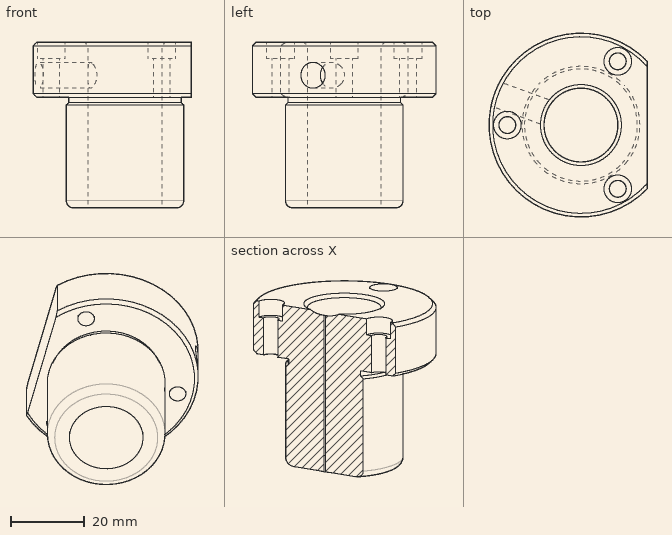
import cadquery as cq
import math

flange_radius = 24.98
flange_height = 15.0
flat_offset = 18.05
edge_chamfer = 1.0

total_height = 45.0
sleeve_radius = 16.0
sleeve_end_fillet = 2.0
neck_depth = 0.7
neck_height = 1.4

bore_radius = 10.0

screw_circle_radius = 20.0
screw_angles = (60, 180, 300)
screw_hole_diameter = 4.5
counterbore_diameter = 7.5
counterbore_depth = 4.5

cross_hole_radius = 3.5
cross_hole_drop = 9.0
cross_hole_angle = math.radians(160)


def turned_body():
    """Revolve the flange, neck and sleeve as one half section about Z."""
    neck_radius = sleeve_radius - neck_depth
    neck_bottom = -flange_height - neck_height
    sleeve_top = neck_bottom - neck_depth
    fillet_top = -total_height + sleeve_end_fillet
    fillet_inner_radius = sleeve_radius - sleeve_end_fillet
    fillet_reach = sleeve_end_fillet * math.sqrt(0.5)
    return (
        cq.Workplane("XZ")
        .moveTo(0, 0)
        .lineTo(flange_radius - edge_chamfer, 0)
        .lineTo(flange_radius, -edge_chamfer)
        .lineTo(flange_radius, -flange_height + edge_chamfer)
        .lineTo(flange_radius - edge_chamfer, -flange_height)
        .lineTo(neck_radius, -flange_height)
        .lineTo(neck_radius, neck_bottom)
        .lineTo(sleeve_radius, sleeve_top)
        .lineTo(sleeve_radius, fillet_top)
        .threePointArc(
            (fillet_inner_radius + fillet_reach, fillet_top - fillet_reach),
            (fillet_inner_radius, -total_height),
        )
        .lineTo(0, -total_height)
        .close()
        .revolve(360, (0, 0, 0), (0, 1, 0))
    )


def flat_cutter():
    """Block that removes the +X side of the flange."""
    return (
        cq.Workplane("XY")
        .box(flange_radius, 2 * flange_radius, flange_height, centered=(False, True, False))
        .translate((flat_offset, 0, -flange_height))
    )


def bore_cutter():
    """Through bore with a chamfered mouth at the top."""
    mouth_radius = bore_radius + edge_chamfer
    return (
        cq.Workplane("XZ")
        .moveTo(0, 0)
        .lineTo(mouth_radius, 0)
        .lineTo(bore_radius, -edge_chamfer)
        .lineTo(bore_radius, -total_height)
        .lineTo(0, -total_height)
        .close()
        .revolve(360, (0, 0, 0), (0, 1, 0))
    )


def cross_hole_cutter():
    """Cylinder running from the bore axis out past the flange rim."""
    outward = cq.Vector(math.cos(cross_hole_angle), math.sin(cross_hole_angle), 0)
    start = cq.Vector(0, 0, -cross_hole_drop)
    length = flange_radius + cross_hole_radius
    return cq.Workplane(cq.Solid.makeCylinder(cross_hole_radius, length, start, outward))


screw_points = [
    (
        screw_circle_radius * math.cos(math.radians(angle)),
        screw_circle_radius * math.sin(math.radians(angle)),
    )
    for angle in screw_angles
]



def screw_cylinders(diameter, depth):
    """Equal cylinders going down from the top face at every screw position."""
    return cq.Workplane("XY").pushPoints(screw_points).circle(diameter / 2).extrude(-depth)


result = (
    turned_body()
    .cut(flat_cutter())
    .cut(bore_cutter())
    .cut(screw_cylinders(screw_hole_diameter, flange_height))
    .cut(screw_cylinders(counterbore_diameter, counterbore_depth))
    .cut(cross_hole_cutter())
)